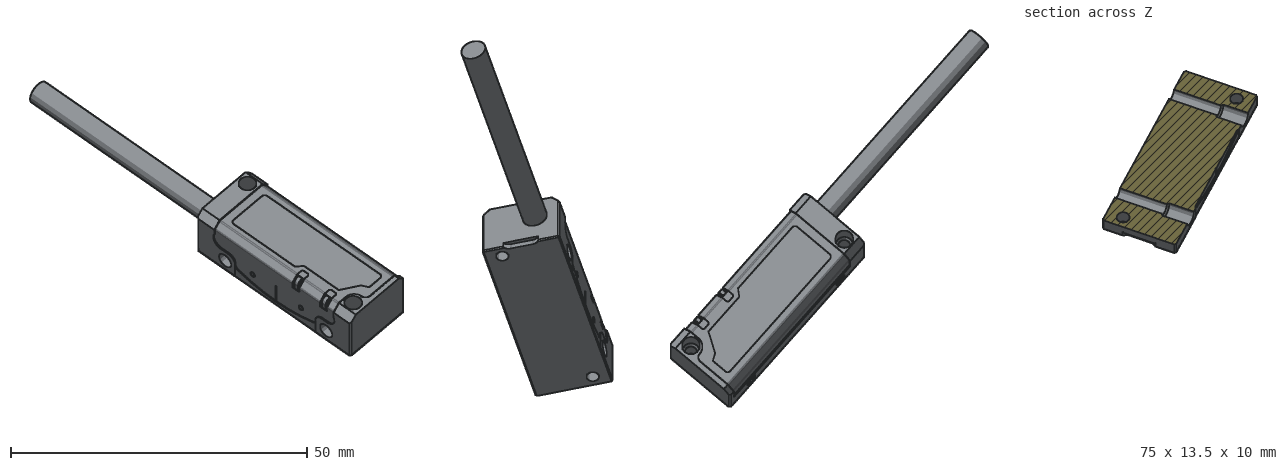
import cadquery as cq
import math

quarter_arc_bend = 1 - math.sqrt(0.5)

total_length = 75.0
body_length = 34.95
body_width = 13.5
body_height = 10.0
roof_chamfer = 1.35
bottom_chamfer = 0.2
cable_end_chamfer = 0.3
far_end_chamfer = 0.3

cable_diameter = 4.2
cable_length = total_length - body_length
cable_y = 4.3
cable_z = 5.9

narrow_diameter = 2.1
side_bore_diameter = 2.8
roof_bore_diameter = 3.0
bore_depth = 4.5
side_holes = [(6.4, 2.55), (29.4, 2.55)]
roof_holes = [(1.95, 10.5), (32.85, 3.0)]

cover_inset = 0.2
cover_edge_radius = 0.4
cover_start = 3.9
cover_end = 31.05
cover_far_end = 33.9
shoulder_z = 4.9
shoulder_radius = 1.7
shoulder_bulge = 0.2
hole_bend_radius = 1.5
roof_clearance_radius = 1.9
roof_clearance_y = 5.0
roof_corner_radius = 1.0

window_start = 8.6
window_end = 26.9
window_inset = 0.1
bow_end_z = 2.2
bow_corner_radius = 0.8
bow_low_z = 0.9

mark_depth = 0.1
dot_diameter = 1.0
dot_places = [(12.45, 3.5), (23.4, 3.5)]
line_width = 0.2
line_top_z = 4.65

label_depth = 0.1
label_start = 5.5
label_end = 32.4
label_back_y = 10.9
label_front_y = 2.5
label_step_x = 20.1
label_step_y = 3.6
label_step_run = 1.0
label_slant_bottom_x = 29.0
label_slant_top_x = 31.1
label_slant_y = 6.9
label_cut_drop = 0.6
label_corner_radius = 0.6

indicator_places = [22.3, 28.6]
indicator_width = 1.6
indicator_back_y = 2.8
indicator_corner_radius = 0.4
indicator_low_z = 7.4
groove_depth = 0.2
lens_width = 0.8
lens_bend_radius = 1.1

recess_width = 6.15
recess_y = 6.75
recess_height = 1.05
recess_curve_width = 1.1
recess_curve_radius = 1.35


def box(x_range, y_range, z_range):
    """Axis-aligned box between the given limits."""
    sizes = [high - low for low, high in (x_range, y_range, z_range)]
    corner = (x_range[0], y_range[0], z_range[0])
    return cq.Workplane("XY").box(*sizes, centered=False).translate(corner)


def chamfered_block(inset):
    """Block with chamfered roof edges; its roof and sides are moved inward by inset."""
    edge = roof_chamfer + inset * (math.sqrt(2) - 1)
    front, back = inset, body_width - inset
    roof = body_height - inset
    return (
        cq.Workplane("YZ")
        .moveTo(front, 0)
        .lineTo(back, 0)
        .lineTo(back, body_height - edge)
        .lineTo(body_width - edge, roof)
        .lineTo(edge, roof)
        .lineTo(front, body_height - edge)
        .close()
        .extrude(body_length)
    )


def make_body():
    body = chamfered_block(0)
    body = body.edges("|Z and <X").chamfer(cable_end_chamfer)
    body = body.edges("|Z and >X").chamfer(far_end_chamfer)
    return body.faces("<Z").chamfer(bottom_chamfer)


def front_cover_zone():
    """Front reach of the cover: bulging shoulders, bends around the holes, then a shallow bow."""
    bulge_offset = shoulder_radius - shoulder_bulge
    bulge_rise = math.sqrt(shoulder_radius**2 - bulge_offset**2)
    bulge_top_z = shoulder_z + shoulder_radius + bulge_rise
    shoulder_bend = shoulder_radius * quarter_arc_bend
    left_x = cover_start - shoulder_bulge
    right_x = cover_end + shoulder_bulge
    r = hole_bend_radius
    bend = r * quarter_arc_bend
    corner = bow_corner_radius
    corner_bend = corner * quarter_arc_bend
    bow_corner_top_z = bow_end_z + corner
    bow_middle_x = (window_start + window_end) / 2
    left_bow_bend = (window_start + corner_bend, bow_end_z + corner_bend)
    right_bow_bend = (window_end - corner_bend, bow_end_z + corner_bend)
    z = shoulder_z
    return (
        cq.Workplane("XZ")
        .moveTo(cover_start, body_height)
        .lineTo(cover_start, bulge_top_z)
        .threePointArc((left_x + shoulder_bend, z + shoulder_bend), (left_x + shoulder_radius, z))
        .lineTo(window_start - r, z)
        .threePointArc((window_start - bend, z - bend), (window_start, z - r))
        .lineTo(window_start, bow_corner_top_z)
        .threePointArc(left_bow_bend, (window_start + corner, bow_end_z))
        .threePointArc((bow_middle_x, bow_low_z), (window_end - corner, bow_end_z))
        .threePointArc(right_bow_bend, (window_end, bow_corner_top_z))
        .lineTo(window_end, z - r)
        .threePointArc((window_end + bend, z - bend), (window_end + r, z))
        .lineTo(right_x - shoulder_radius, z)
        .threePointArc((right_x - shoulder_bend, z + shoulder_bend), (cover_end, bulge_top_z))
        .lineTo(cover_end, body_height)
        .close()
        .extrude(-roof_chamfer)
    )


def roof_cover_zone():
    """Roof reach of the cover, going round the screw hole at the far front corner."""
    r = roof_corner_radius
    bend = r * quarter_arc_bend
    round_end_x = cover_far_end - r
    clearance_bend = roof_clearance_radius * quarter_arc_bend
    height = roof_chamfer + cover_inset
    return (
        cq.Workplane("XY", origin=(0, 0, body_height - height))
        .moveTo(cover_start, 0)
        .lineTo(cover_start, body_width)
        .lineTo(cover_far_end, body_width)
        .lineTo(cover_far_end, roof_clearance_y + r)
        .threePointArc((cover_far_end - bend, roof_clearance_y + bend), (round_end_x, roof_clearance_y))
        .threePointArc(
            (cover_end + clearance_bend, roof_clearance_y - clearance_bend),
            (cover_end, roof_clearance_y - roof_clearance_radius),
        )
        .lineTo(cover_end, 0)
        .close()
        .extrude(height)
    )


def cover_cut():
    """Skin to remove so that the cover sits below the body surface."""
    core = chamfered_block(cover_inset).edges("|X and (not <Z)").fillet(cover_edge_radius)
    back_zone = box(
        (cover_start, cover_far_end), (body_width - roof_chamfer, body_width), (shoulder_z, body_height)
    )
    return front_cover_zone().union(roof_cover_zone()).union(back_zone).cut(core)


def window_cut():
    return box((window_start, window_end), (0, window_inset), (0, bow_end_z + bow_corner_radius))


def marks_cut():
    """Two dots and an upright line engraved in the front of the cover."""
    depth = cover_inset + mark_depth
    middle = (window_start + window_end) / 2
    line_x = (middle - line_width / 2, middle + line_width / 2)
    dots = cq.Workplane("XZ").pushPoints(dot_places).circle(dot_diameter / 2).extrude(-depth)
    return dots.union(box(line_x, (0, depth), (bow_low_z, line_top_z)))


def label_cut():
    """Shallow panel with a low step and a slanted corner beside the screw hole."""
    depth = cover_inset + label_depth
    c = label_corner_radius
    bend = c * quarter_arc_bend
    return (
        cq.Workplane("XY", origin=(0, 0, body_height - depth))
        .moveTo(label_start + c, label_back_y)
        .lineTo(label_end - c, label_back_y)
        .threePointArc((label_end - bend, label_back_y - bend), (label_end, label_back_y - c))
        .lineTo(label_end, label_slant_y + label_cut_drop)
        .lineTo(label_slant_top_x, label_slant_y)
        .lineTo(label_slant_bottom_x, label_step_y)
        .lineTo(label_step_x + label_step_run, label_step_y)
        .lineTo(label_step_x, label_front_y)
        .lineTo(label_start + c, label_front_y)
        .threePointArc((label_start + bend, label_front_y + bend), (label_start, label_front_y + c))
        .lineTo(label_start, label_back_y - c)
        .threePointArc((label_start + bend, label_back_y - bend), (label_start + c, label_back_y))
        .close()
        .extrude(depth)
    )


def indicator_strip(width, x, back_y):
    """Upright block over the front roof edge, from the front surface back to back_y."""
    return box((x - width / 2, x + width / 2), (0, back_y), (indicator_low_z, body_height))


def indicator_cut(x):
    """Shallow window with a deeper groove where it crosses the chamfer."""
    window = indicator_strip(indicator_width, x, indicator_back_y)
    window = window.edges("|Z and >Y").fillet(indicator_corner_radius)
    window = window.cut(chamfered_block(cover_inset + mark_depth))
    groove = indicator_strip(indicator_width, x, roof_chamfer)
    return window.union(groove.cut(chamfered_block(cover_inset + groove_depth)))


def indicator_lens(x):
    """Rounded strip standing in the groove and joining roof and front."""
    inset = cover_inset + mark_depth
    rounded = box((0, body_length), (inset, body_width), (0, body_height - inset))
    rounded = rounded.edges("|X and <Y and >Z").fillet(lens_bend_radius)
    return indicator_strip(lens_width, x, inset + lens_bend_radius).intersect(rounded)


def stepped_hole(bore_diameter, length):
    """Hole running along +Z from the origin: bore, cone, narrow hole."""
    bore = bore_diameter / 2
    narrow = narrow_diameter / 2
    return (
        cq.Workplane("XZ")
        .lineTo(bore, 0)
        .lineTo(bore, bore_depth)
        .lineTo(narrow, bore_depth + bore - narrow)
        .lineTo(narrow, length)
        .lineTo(0, length)
        .close()
        .revolve(360, (0, 0), (0, 1))
    )


def recess_cut():
    """Shallow recess open to the bottom; its ends curve smoothly into the back wall."""
    start_y = recess_y - recess_width / 2
    end_y = recess_y + recess_width / 2
    half_angle = math.asin(recess_curve_width / recess_curve_radius) / 2
    depth = recess_curve_radius * (1 - math.cos(2 * half_angle))
    middle_x = depth - recess_curve_radius * (1 - math.cos(half_angle))
    middle_y = recess_curve_width - recess_curve_radius * math.sin(half_angle)
    return (
        cq.Workplane("XY")
        .moveTo(0, start_y)
        .threePointArc((middle_x, start_y + middle_y), (depth, start_y + recess_curve_width))
        .lineTo(depth, end_y - recess_curve_width)
        .threePointArc((middle_x, end_y - middle_y), (0, end_y))
        .close()
        .extrude(recess_height)
    )


body = make_body()
body = body.cut(cover_cut()).cut(window_cut()).cut(marks_cut()).cut(label_cut()).cut(recess_cut())

for x in indicator_places:
    body = body.cut(indicator_cut(x)).union(indicator_lens(x))

for x, z in side_holes:
    hole = stepped_hole(side_bore_diameter, body_width).rotate((0, 0, 0), (1, 0, 0), -90)
    body = body.cut(hole.translate((x, 0, z)))

for x, y in roof_holes:
    hole = stepped_hole(roof_bore_diameter, body_height).rotate((0, 0, 0), (1, 0, 0), 180)
    body = body.cut(hole.translate((x, y, body_height)))

cable = (
    cq.Workplane("YZ")
    .center(cable_y, cable_z)
    .circle(cable_diameter / 2)
    .extrude(-cable_length)
)
result = body.union(cable)